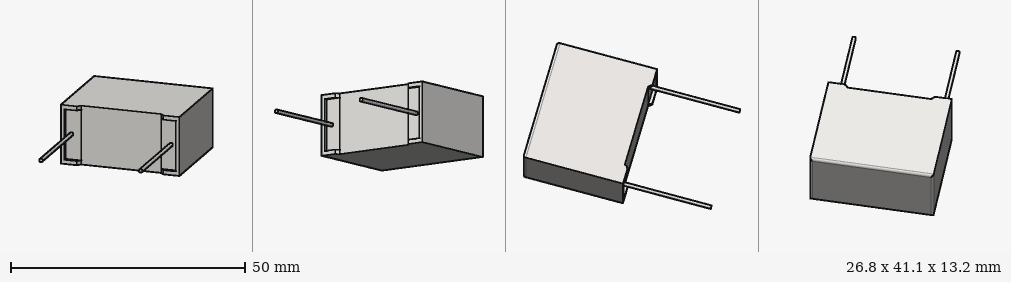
import cadquery as cq

case_width = 26.8
case_height = 13.2
overall_length = 41.1
lead_length = 18.95
case_depth = overall_length - lead_length
back_round = 0.58

recess_depth = 0.8
recess_floor_width = 18.1
recess_slope_run = 0.7
recess_mouth_width = recess_floor_width + 2 * recess_slope_run

side_wall = 0.82
top_wall = 0.95
cavity_width = case_width - 2 * side_wall
cavity_height = case_height - 2 * top_wall
window_width = (cavity_width - recess_floor_width) / 2
window_offset = (recess_floor_width + window_width) / 2
panel_thickness = 0.82
cavity_depth = 2.45

lead_diameter = 0.82
lead_pitch = 22.52
lead_embedment = 1.65


def box_along_y(width, height, y_start, y_end, x_center=0):
    """Box centred on Z = 0 that spans y_start to y_end."""
    return (
        cq.Workplane("XY")
        .box(width, y_end - y_start, height)
        .translate((x_center, (y_start + y_end) / 2, 0))
    )


def make_recess():
    """Trapezoidal channel that runs through the full height."""
    return (
        cq.Workplane("XY")
        .moveTo(-recess_mouth_width / 2, 0)
        .lineTo(recess_mouth_width / 2, 0)
        .lineTo(recess_floor_width / 2, recess_depth)
        .lineTo(-recess_floor_width / 2, recess_depth)
        .close()
        .extrude(case_height / 2, both=True)
    )


def make_resin_block():
    """Resin behind the middle panel, filling both windows level with the recess floor."""
    panel_back = recess_depth + panel_thickness
    block = box_along_y(cavity_width, cavity_height, panel_back, recess_depth + cavity_depth)
    for side in (-1, 1):
        plug = box_along_y(window_width, cavity_height, recess_depth, panel_back, side * window_offset)
        block = block.union(plug)
    return block


def make_lead(x_center):
    """Round wire from inside the resin to the outer end."""
    length = lead_length + recess_depth + lead_embedment
    return (
        cq.Workplane("XZ", origin=(x_center, -lead_length, 0))
        .circle(lead_diameter / 2)
        .extrude(-length)
    )


def make_case(resin_block):
    """Case with a rounded back, two feet and the cavity for the resin."""
    case = box_along_y(case_width, case_height, 0, case_depth)
    case = case.faces(">Y").edges().fillet(back_round)
    case = case.cut(make_recess()).cut(resin_block)
    for side in (-1, 1):
        mouth = box_along_y(window_width, cavity_height, 0, recess_depth, side * window_offset)
        case = case.cut(mouth)
    return case


leads = [make_lead(side * lead_pitch / 2) for side in (-1, 1)]
resin_block = make_resin_block()
case = make_case(resin_block)
resin = resin_block
for lead in leads:
    resin = resin.cut(lead)

result = cq.Compound.makeCompound([case.val(), resin.val(), *[lead.val() for lead in leads]])